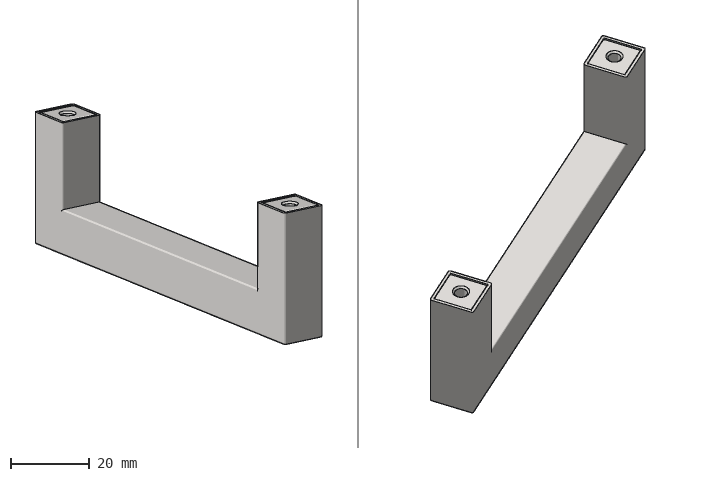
import cadquery as cq

handle_length = 108.0
handle_height = 35.0
bar_width = 12.0
edge_radius = 0.5

rim_wall = 0.8
pocket_depth = 10.0
pocket_width = bar_width - 2 * rim_wall
pocket_floor = handle_height - pocket_depth

plug_gap = 0.1
plug_width = pocket_width - 2 * plug_gap
plug_edge_radius = 0.7
screw_hole_diameter = 3.3
countersink_diameter = 4.3
countersink_angle = 90.0

leg_spacing = handle_length - bar_width
leg_centers = [-leg_spacing / 2, leg_spacing / 2]


def make_handle():
    """U-shaped bar with rounded edges and a square pocket in each leg end."""
    bar = cq.Workplane("XY").box(handle_length, bar_width, handle_height, centered=(True, True, False))
    opening = (
        cq.Workplane("XY", origin=(0, 0, bar_width))
        .box(handle_length - 2 * bar_width, bar_width, handle_height - bar_width, centered=(True, True, False))
    )

    corners_rounded = bar.cut(opening).faces("<Z").edges("|Y").fillet(edge_radius)
    edges_rounded = corners_rounded.faces("<Y or >Y").edges("not(>Z)").fillet(edge_radius)

    pockets = (
        cq.Workplane("XY", origin=(0, 0, pocket_floor))
        .pushPoints([(center_x, 0) for center_x in leg_centers])
        .rect(pocket_width, pocket_width)
        .extrude(pocket_depth)
    )
    return edges_rounded.cut(pockets)


def make_plug(center_x):
    """Square plug rounded along its two upper Y edges, with a countersunk screw hole through it."""
    return (
        cq.Workplane("XY", origin=(center_x, 0, pocket_floor))
        .rect(plug_width, plug_width)
        .extrude(pocket_depth)
        .faces(">Z")
        .edges("|Y")
        .fillet(plug_edge_radius)
        .faces(">Z")
        .workplane(centerOption="CenterOfMass")
        .cskHole(screw_hole_diameter, countersink_diameter, countersink_angle)
    )


handle = make_handle()
plugs = [make_plug(center_x) for center_x in leg_centers]

result = cq.Compound.makeCompound([handle.val(), *[plug.val() for plug in plugs]])